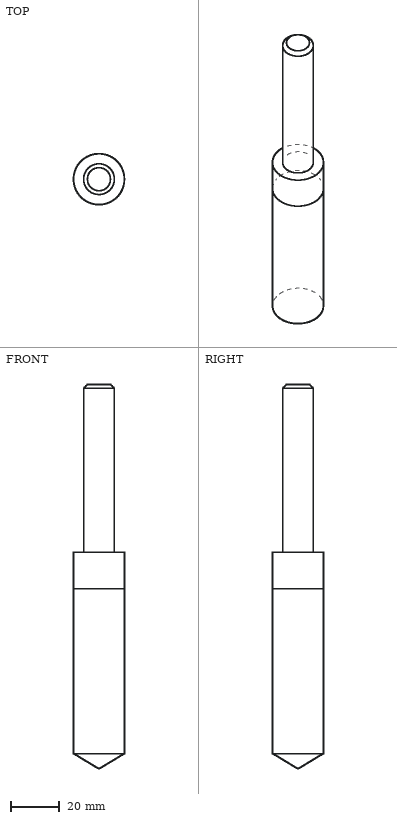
import cadquery as cq

total_length = 158.0
body_diameter = 21.0
shank_diameter = 12.6
shank_length = 68.9
shank_chamfer = 1.6
collar_length = 15.0
tip_height = 6.3

collar_top = total_length - shank_length
joint_height = collar_top - collar_length
body_radius = body_diameter / 2


def make_holder():
    """Collar with the chamfered shank standing on it."""
    collar = cq.Workplane("XY", origin=(0, 0, joint_height)).circle(body_radius).extrude(collar_length)
    shank = (
        cq.Workplane("XY", origin=(0, 0, collar_top))
        .circle(shank_diameter / 2)
        .extrude(shank_length)
        .faces(">Z")
        .chamfer(shank_chamfer)
    )
    return collar.union(shank)


def make_pointed_barrel():
    """Cylinder below the collar, ending in a conical point."""
    return (
        cq.Workplane("XZ")
        .lineTo(body_radius, tip_height)
        .lineTo(body_radius, joint_height)
        .lineTo(0, joint_height)
        .close()
        .revolve(360, (0, 0, 0), (0, 1, 0))
    )


holder = make_holder()
pointed_barrel = make_pointed_barrel()

result = cq.Compound.makeCompound([holder.val(), pointed_barrel.val()])